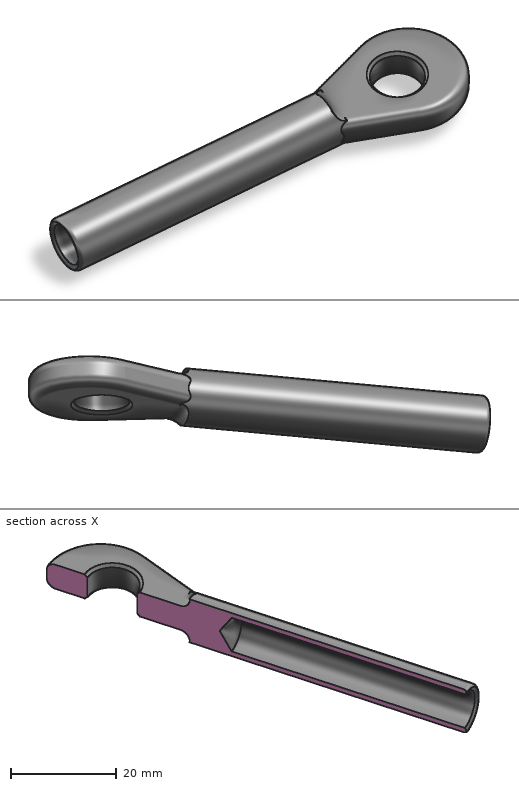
import math

import cadquery as cq

total_length = 89.37
shank_length = 59.0
shank_radius = 5.5

eye_radius = 11.5
eye_thickness = 6.2
eye_edge_radius = 2.0
taper_angle = math.radians(20.5)
pin_hole_diameter = 10.5
pin_hole_offset = 2.5
pin_hole_chamfer = 0.6
root_fillet_radius = 2.0

bore_diameter = 8.4
bore_depth = 50.0
bore_tip_angle = math.radians(118)

mouth_round_radius = 1.0
mouth_rim_radius = 5.0
countersink_angle = math.radians(120)

eye_center_y = total_length - eye_radius
root_y = shank_length
root_end_y = root_y + root_fillet_radius
half_thickness = eye_thickness / 2

tangent_x = eye_radius * math.cos(taper_angle)
tangent_y = eye_center_y - eye_radius * math.sin(taper_angle)
root_half_width = tangent_x - (tangent_y - root_y) * math.tan(taper_angle)


def make_eye():
    """Flat plate with a round end and tapered sides, rounded along both faces."""
    eye = (
        cq.Workplane("XY")
        .workplane(offset=-half_thickness)
        .moveTo(-root_half_width, root_y)
        .lineTo(-tangent_x, tangent_y)
        .threePointArc((0, total_length), (tangent_x, tangent_y))
        .lineTo(root_half_width, root_y)
        .close()
        .extrude(eye_thickness)
    )
    return eye.faces("<Z or >Z").edges("not <Y").fillet(eye_edge_radius)


def make_shank():
    """Round bar whose mouth rounding runs from the rim to a tangent on the side."""
    round_center_radius = shank_radius - mouth_round_radius
    rim_offset = mouth_rim_radius - round_center_radius
    round_length = math.sqrt(mouth_round_radius**2 - rim_offset**2)
    return (
        cq.Workplane("XY")
        .lineTo(mouth_rim_radius, 0)
        .radiusArc((shank_radius, round_length), -mouth_round_radius)
        .lineTo(shank_radius, root_end_y)
        .lineTo(0, root_end_y)
        .close()
        .revolve(360, (0, 0, 0), (0, 1, 0))
    )


def make_root_flat():
    """Cutter for the upper flat, which curves up into the shank's shoulder."""
    arc_center_z = half_thickness + root_fillet_radius
    arc_mid_offset = root_fillet_radius * math.sqrt(0.5)
    return (
        cq.Workplane("YZ")
        .moveTo(root_y, shank_radius)
        .lineTo(root_y, arc_center_z)
        .threePointArc(
            (root_end_y - arc_mid_offset, arc_center_z - arc_mid_offset),
            (root_end_y, half_thickness),
        )
        .lineTo(root_end_y, shank_radius)
        .close()
        .extrude(shank_radius, both=True)
    )


def make_bore():
    """Blind bore with a countersunk mouth and a drill-point bottom."""
    bore_radius = bore_diameter / 2
    countersink_depth = (mouth_rim_radius - bore_radius) / math.tan(countersink_angle / 2)
    tip_length = bore_radius / math.tan(bore_tip_angle / 2)
    return (
        cq.Workplane("XY")
        .lineTo(mouth_rim_radius, 0)
        .lineTo(bore_radius, countersink_depth)
        .lineTo(bore_radius, bore_depth)
        .lineTo(0, bore_depth + tip_length)
        .close()
        .revolve(360, (0, 0, 0), (0, 1, 0))
    )


def make_pin_hole():
    """Hole through the eye, chamfered at both faces."""
    hole_y = eye_center_y - pin_hole_offset
    hole_radius = pin_hole_diameter / 2
    rim_radius = hole_radius + pin_hole_chamfer
    straight_half_length = half_thickness - pin_hole_chamfer
    return (
        cq.Workplane("YZ")
        .moveTo(hole_y, -half_thickness)
        .lineTo(hole_y + rim_radius, -half_thickness)
        .lineTo(hole_y + hole_radius, -straight_half_length)
        .lineTo(hole_y + hole_radius, straight_half_length)
        .lineTo(hole_y + rim_radius, half_thickness)
        .lineTo(hole_y, half_thickness)
        .close()
        .revolve(360, (hole_y, 0, 0), (hole_y, 1, 0))
    )


root_flat = make_root_flat()
shank = make_shank().cut(root_flat).cut(root_flat.mirror("XY"))

result = shank.union(make_eye()).cut(make_bore()).cut(make_pin_hole())